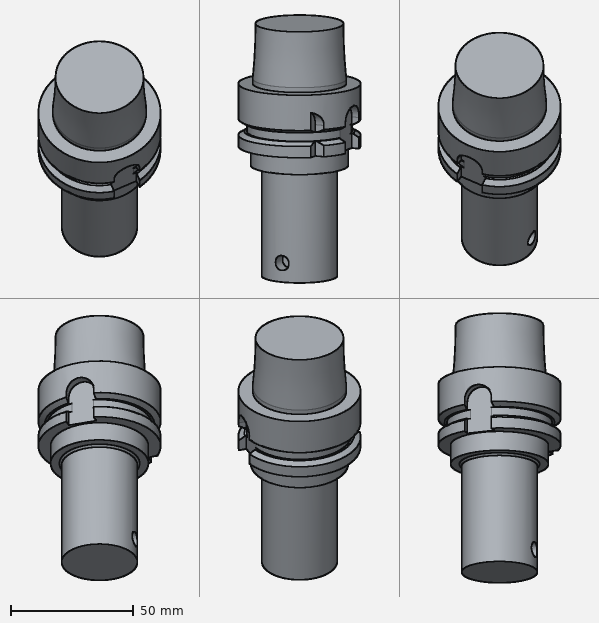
import cadquery as cq
import math

total_length = 105.0
taper_length = 25.0
collar_length = 26.0
neck_length = 8.0
pilot_height = 2.1
collar_top = total_length - taper_length
collar_bottom = collar_top - collar_length
neck_bottom = collar_bottom - neck_length
pilot_top = collar_top + pilot_height

shank_radius = 31.0 / 2
neck_radius = 40.0 / 2
collar_radius = 50.0 / 2
pilot_radius = 38.3 / 2
taper_tip_radius = 36.0 / 2
shank_flare = 0.9

groove_centre = collar_top - 18.0
groove_half_width = 3.75 / 2
groove_floor_radius = 21.5
flank_inner_radius = 22.5
flank_angle = math.radians(30)
flank_rise = (collar_radius - flank_inner_radius) * math.tan(flank_angle)
groove_half_mouth = groove_half_width + flank_rise

slot_radius = 5.9
slot_top = collar_top - 7.0
drive_slot_floor = 21.0
notch_wall_y = 15.65
notch_floor = 15.5

screw_hole_diameter = 6.2
screw_hole_height = 8.0
screw_hole_depth = 6.5


def taper_arc_middle():
    """Middle point (radius, z) of the taper flank, an arc that leaves the tip parallel to the axis."""
    rise = pilot_radius - taper_tip_radius
    run = total_length - pilot_top
    arc_radius = (run**2 + rise**2) / (2 * rise)
    half_sweep = math.asin(run / arc_radius) / 2
    middle_radius = taper_tip_radius + arc_radius * (1 - math.cos(half_sweep))
    return middle_radius, total_length - arc_radius * math.sin(half_sweep)


def turned_body():
    """Shank, neck, collar and hollow-flanked taper as one revolved profile."""
    profile = (
        cq.Workplane("XZ")
        .lineTo(shank_radius, 0)
        .lineTo(shank_radius, neck_bottom - shank_flare)
        .lineTo(shank_radius + shank_flare, neck_bottom)
        .lineTo(neck_radius, neck_bottom)
        .lineTo(neck_radius, collar_bottom)
        .lineTo(collar_radius, collar_bottom)
        .lineTo(collar_radius, collar_top)
        .lineTo(pilot_radius, collar_top)
        .lineTo(pilot_radius, pilot_top)
        .threePointArc(taper_arc_middle(), (taper_tip_radius, total_length))
        .lineTo(0, total_length)
        .close()
    )
    return profile.revolve(360, (0, 0, 0), (0, 1, 0))


def gripper_groove():
    """Ring with sloped flanks and a narrower square-sided channel at its floor."""
    profile = (
        cq.Workplane("XZ")
        .moveTo(collar_radius, groove_centre - groove_half_mouth)
        .lineTo(flank_inner_radius, groove_centre - groove_half_width)
        .lineTo(groove_floor_radius, groove_centre - groove_half_width)
        .lineTo(groove_floor_radius, groove_centre + groove_half_width)
        .lineTo(flank_inner_radius, groove_centre + groove_half_width)
        .lineTo(collar_radius, groove_centre + groove_half_mouth)
        .close()
    )
    return profile.revolve(360, (0, 0, 0), (0, 1, 0))


def collar_slot(centre_y, floor_distance):
    """Round-topped cutter on the -X side, from its flat floor outward past the collar."""
    spring_height = slot_top - slot_radius
    profile = (
        cq.Workplane("YZ", origin=(-floor_distance, 0, 0))
        .moveTo(centre_y - slot_radius, collar_bottom)
        .lineTo(centre_y - slot_radius, spring_height)
        .threePointArc((centre_y, slot_top), (centre_y + slot_radius, spring_height))
        .lineTo(centre_y + slot_radius, collar_bottom)
        .close()
    )
    return profile.extrude(-collar_radius)


def screw_hole():
    """Blind radial hole entering the shank from the +Y side."""
    inner_end = shank_radius - screw_hole_depth
    plane = cq.Plane(origin=(0, inner_end, screw_hole_height), xDir=(1, 0, 0), normal=(0, 1, 0))
    return cq.Workplane(plane).circle(screw_hole_diameter / 2).extrude(shank_radius)


body = turned_body().cut(gripper_groove())

drive_slot = collar_slot(0, drive_slot_floor)
for side_angle in (0, 180):
    body = body.cut(drive_slot.rotate((0, 0, 0), (0, 0, 1), side_angle))

orientation_notch = collar_slot(notch_wall_y + slot_radius, notch_floor)
body = body.cut(orientation_notch)

result = body.cut(screw_hole())